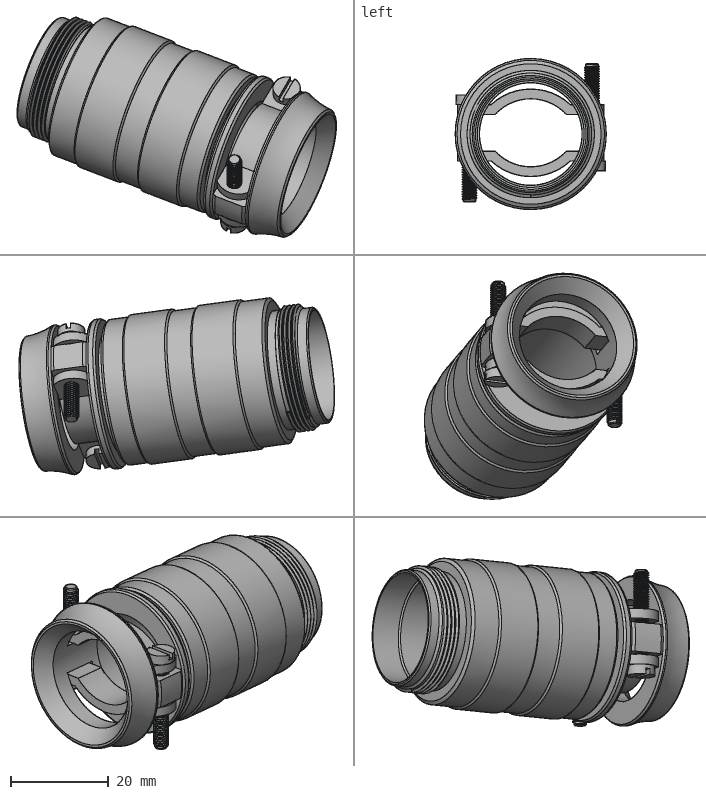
import cadquery as cq
import math


total_length = 60.5
collar_end = 2.2
barrel_start = 8.45
barrel_end = 42.95
band_length = 9.0
band_starts = (14.55, 28.95)
band_ramp = 0.4
flange_start = 44.0
flange_end = 46.0
clamp_gap = 7.4
end_ring_start = flange_end + clamp_gap
taper_start = end_ring_start + 0.85
edge_length = 0.5

outer_radius = 15.5
barrel_radius = 15.1
barrel_chamfer = 0.7
barrel_tail_chamfer = 0.4
collar_radius = 12.0
neck_radius = 12.35
flange_chamfer = 0.3
taper_end_radius = 14.0
taper_sag = 0.3
mouth_radius = 11.35
bore_radius = 10.95
exit_radius = 10.5
exit_flare_length = 3.2
exit_flare_depth = 2.6
mouth_depth = 6.0
bore_step_length = 0.3
lip_chamfer = 0.3
tail_edge = 0.4

coupling_pitch = 0.93
coupling_crest = 13.05
coupling_root = 12.5
coupling_first_turn = 2.75
coupling_length = 3.75
coupling_relief_start = 6.75

lug_height = 6.1
lug_edge_length = 0.65

clamp_x = flange_end + clamp_gap / 2
strap_width = 7.0
strap_thickness = 2.04
strap_reach = 15.05
strap_end_radius = 4.7
strap_rise = 3.2
strap_inner_radius = 9.9
upper_strap_base = 4.0
lower_strap_base = 3.5

screw_y = 12.55
screw_length = 20.0
screw_crest = 1.55
screw_root = 1.3
screw_pitch = 0.5
screw_tip_radius = 1.1
screw_head_radius = 2.8
screw_head_height = 2.0
slot_width = 0.95
slot_depth = 1.15
lug_hole_clearance = 0.05

ridge_half_width_ratio = 0.42
ridge_sink = 0.05


def helical_ridge(root, crest, pitch, length):
    """Triangular thread ridge winding up the Z axis from Z = 0, rooted just inside the root radius."""
    half_base = ridge_half_width_ratio * pitch
    inner = root - ridge_sink
    path = cq.Workplane(obj=cq.Wire.makeHelix(pitch, length, inner))
    profile = cq.Workplane("XZ").polyline([(inner, -half_base), (crest, 0), (inner, half_base)]).close()
    return profile.sweep(path, isFrenet=True)


def shell_envelope():
    """Revolved outside of the shell, with the clamp gap filled to the lug height."""
    profile = (
        cq.Workplane("XY")
        .moveTo(0, 0)
        .lineTo(0, collar_radius - lip_chamfer)
        .lineTo(lip_chamfer, collar_radius)
        .lineTo(collar_end, collar_radius)
        .lineTo(collar_end + coupling_root - collar_radius, coupling_root)
        .lineTo(coupling_relief_start, coupling_root)
        .lineTo(coupling_relief_start, neck_radius)
        .lineTo(barrel_start, neck_radius)
        .lineTo(barrel_start, barrel_radius - barrel_chamfer)
        .lineTo(barrel_start + edge_length, barrel_radius)
    )
    for start in band_starts:
        profile = (
            profile.lineTo(start, barrel_radius)
            .lineTo(start + band_ramp, outer_radius)
            .lineTo(start + band_length, outer_radius)
            .lineTo(start + band_length + band_ramp, barrel_radius)
        )
    flange_rim = outer_radius - flange_chamfer
    profile = (
        profile.lineTo(barrel_end - edge_length, barrel_radius)
        .lineTo(barrel_end, barrel_radius - barrel_tail_chamfer)
        .lineTo(barrel_end, neck_radius)
        .lineTo(flange_start, neck_radius)
        .lineTo(flange_start, flange_rim)
        .lineTo(flange_start + edge_length, outer_radius)
        .lineTo(flange_end - edge_length, outer_radius)
        .lineTo(flange_end, flange_rim)
        .lineTo(flange_end + lug_edge_length, outer_radius)
        .lineTo(end_ring_start - lug_edge_length, outer_radius)
        .lineTo(end_ring_start, flange_rim)
        .lineTo(end_ring_start + edge_length, outer_radius)
        .lineTo(taper_start, outer_radius)
    )
    taper_end = total_length - tail_edge
    taper_middle = (
        (taper_start + taper_end) / 2,
        (outer_radius + taper_end_radius) / 2 - taper_sag,
    )
    profile = (
        profile.threePointArc(taper_middle, (taper_end, taper_end_radius))
        .lineTo(total_length, taper_end_radius - tail_edge)
        .lineTo(total_length, 0)
        .close()
    )
    return profile.revolve(360, (0, 0, 0), (1, 0, 0))


def shell_bore():
    """Stepped through bore: wide mouth, barrel bore and narrower exit with a conical flare."""
    return (
        cq.Workplane("XY")
        .moveTo(0, 0)
        .lineTo(0, mouth_radius)
        .lineTo(mouth_depth, mouth_radius)
        .lineTo(mouth_depth + bore_step_length, bore_radius)
        .lineTo(flange_start, bore_radius)
        .lineTo(flange_start, exit_radius)
        .lineTo(total_length - exit_flare_length, exit_radius)
        .lineTo(total_length, exit_radius + exit_flare_depth)
        .lineTo(total_length, 0)
        .close()
        .revolve(360, (0, 0, 0), (1, 0, 0))
    )


def clamp_windows():
    """Openings above and below the lugs, between the flange and the end ring."""
    windows = cq.Workplane("XY").box(clamp_gap, 4 * outer_radius, 4 * outer_radius)
    lugs = cq.Workplane("XY").box(clamp_gap, 4 * outer_radius, lug_height)
    return windows.cut(lugs).translate((clamp_x, 0, 0))


def make_shell():
    coupling_thread = (
        helical_ridge(coupling_root, coupling_crest, coupling_pitch, coupling_length)
        .rotate((0, 0, 0), (0, 1, 0), 90)
        .translate((coupling_first_turn, 0, 0))
    )
    screw_holes = (
        cq.Workplane("XY")
        .pushPoints([(clamp_x, screw_y), (clamp_x, -screw_y)])
        .circle(screw_crest + lug_hole_clearance)
        .extrude(lug_height, both=True)
    )
    shell = shell_envelope().union(coupling_thread)
    return shell.cut(shell_bore()).cut(clamp_windows()).cut(screw_holes)


def strap(base):
    """Arched strap above the axis; its flat ends have their underside at Z = base."""
    arch_center = base + strap_rise - strap_inner_radius
    strap_outer_radius = strap_inner_radius + strap_thickness
    top = base + strap_thickness
    inner_knee = math.sqrt(strap_inner_radius**2 - (base - arch_center) ** 2)
    outer_knee = math.sqrt(strap_outer_radius**2 - (top - arch_center) ** 2)
    arch = (
        cq.Workplane("YZ")
        .moveTo(-strap_reach, base)
        .lineTo(-inner_knee, base)
        .threePointArc((0, arch_center + strap_inner_radius), (inner_knee, base))
        .lineTo(strap_reach, base)
        .lineTo(strap_reach, top)
        .lineTo(outer_knee, top)
        .threePointArc((0, arch_center + strap_outer_radius), (-outer_knee, top))
        .lineTo(-strap_reach, top)
        .close()
        .extrude(strap_width / 2, both=True)
    )
    half_width = strap_width / 2
    corner_y = strap_reach - strap_end_radius + math.sqrt(strap_end_radius**2 - half_width**2)
    plan = (
        cq.Workplane("XY")
        .moveTo(-half_width, -corner_y)
        .threePointArc((0, -strap_reach), (half_width, -corner_y))
        .lineTo(half_width, corner_y)
        .threePointArc((0, strap_reach), (-half_width, corner_y))
        .close()
        .extrude(2 * outer_radius)
    )
    return arch.intersect(plan)


def screw():
    """Slotted cheese-head screw on the Z axis, with the underside of its head at Z = 0."""
    shank = (
        cq.Workplane("XY")
        .circle(screw_root)
        .extrude(-screw_length)
        .faces("<Z")
        .chamfer(screw_root - screw_tip_radius)
    )
    thread = helical_ridge(screw_root, screw_crest, screw_pitch, screw_length - 2 * screw_pitch)
    head = cq.Workplane("XY").circle(screw_head_radius).extrude(screw_head_height)
    slot = (
        cq.Workplane("XY")
        .box(slot_width, 2 * screw_head_radius, slot_depth, centered=(True, True, False))
        .translate((0, 0, screw_head_height - slot_depth))
    )
    threaded_shank = shank.union(thread.translate((0, 0, screw_pitch - screw_length)))
    return threaded_shank.union(head.cut(slot))


def clamp_half(base, clamp_screw):
    """One strap with the screw whose head bears on it, on the +Y side."""
    strap_top = base + strap_thickness
    return strap(base).union(clamp_screw.translate((0, screw_y, strap_top)))


def make_clamp():
    clamp_screw = screw()
    upper = clamp_half(upper_strap_base, clamp_screw)
    lower = clamp_half(lower_strap_base, clamp_screw).rotate((0, 0, 0), (1, 0, 0), 180)
    return upper.union(lower).translate((clamp_x, 0, 0))


shell = make_shell()
clamp = make_clamp()
result = cq.Compound.makeCompound([*shell.solids().vals(), *clamp.solids().vals()])